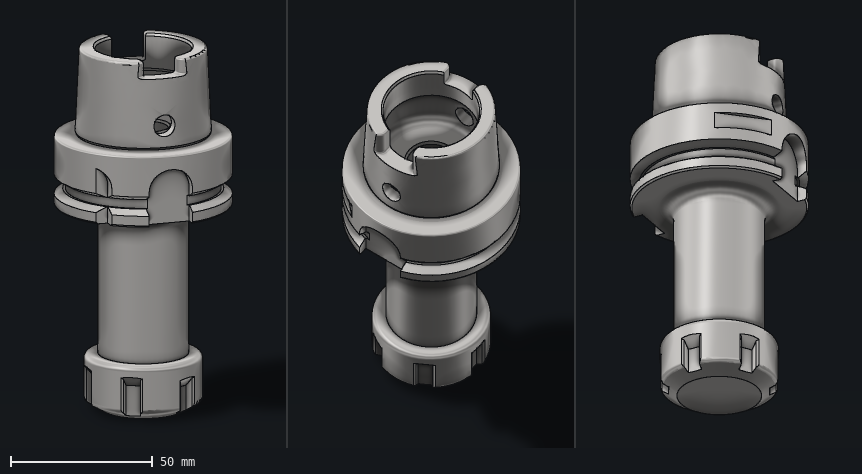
import cadquery as cq
import math

total_height = 132.0

shank_base_z = 102.2
shank_base_radius = 24.0
shank_top_radius = 22.7
shank_rim_round = 0.9
shank_relief_z = 101.2
undercut_radius = 23.6
undercut_z = 100.5
undercut_face_radius = 25.2

bore_radius = 17.0
bore_rim_width = 0.6
bore_rim_depth = 0.9
clamp_edge_z = 119.3
clamp_radius = 19.8
clamp_angle = 30.0
bore_floor_z = 103.1
bore_floor_round = 4.1
center_hole_radius = 8.7
center_hole_chamfer = 0.8
center_hole_depth = 7.9

slot_width = 12.5
slot_half_width = slot_width / 2
slot_flare_radius = 2.8
slot_face_x = 21.0
slot_floor_round = 1.0
left_slot_z = 122.1
right_slot_z = 126.0

cross_hole_diameter = 7.8
cross_hole_z = 109.0

flange_diameter = 63.0
flange_radius = flange_diameter / 2
flange_top_z = 100.0
flange_bottom_z = 74.3
flange_top_round = 0.8
flange_bottom_chamfer = 0.7
groove_radius = 27.5
groove_mouth_radius = 28.4
groove_top_z = 83.7
groove_bottom_z = 80.3
groove_side_angle = 30.0

keyway_floor_spacing = 52.9
keyway_floor_x = keyway_floor_spacing / 2
keyway_top_z = 95.0
left_keyway_half_width = 9.0
right_keyway_half_width = 8.0
notch_wall = 19.9
notch_top_round = 6.9
flat_distance = 29.7
flat_top_z = 96.0
flat_bottom_z = 90.0
flat_angle = 135.0

neck_diameter = 32.1
neck_radius = neck_diameter / 2
neck_fillet = 5.0

nut_top_z = 20.3
nut_radius = 21.0
nut_top_round = 2.0
nut_face_radius = 14.9
nut_cone_angle = 30.0
nut_corner_round = 2.1

wrench_slot_count = 6
wrench_floor_distance = 17.8
wrench_floor_half_width = 2.6
wrench_edge_half_width = 3.0
wrench_mouth_width = 7.8
wrench_mouth_half_width = wrench_mouth_width / 2
wrench_edge_chamfer = 0.5
wrench_floor_top_z = 12.8
wrench_top_slope = 50.0
short_slot_drop = 1.8
first_wrench_slot_angle = 30.0

clearance = 2.6

selection_margin = 0.1


def turned_body():
    """Shank, flange, neck and nut as one revolved outline."""
    groove_side_width = flange_radius - groove_mouth_radius
    groove_side_rise = groove_side_width * math.tan(math.radians(groove_side_angle))
    nut_cone_rise = (nut_radius - nut_face_radius) * math.tan(math.radians(nut_cone_angle))
    turn = math.radians(90 - nut_cone_angle)
    tangent_length = nut_corner_round * math.tan(turn / 2)
    round_center_r = nut_radius - nut_corner_round
    round_top_z = nut_cone_rise + tangent_length
    cone_end = (round_center_r + nut_corner_round * math.cos(turn),
                round_top_z - nut_corner_round * math.sin(turn))
    round_middle = (round_center_r + nut_corner_round * math.cos(turn / 2),
                    round_top_z - nut_corner_round * math.sin(turn / 2))
    return (
        cq.Workplane("XZ")
        .moveTo(0, 0)
        .lineTo(nut_face_radius, 0)
        .lineTo(*cone_end)
        .threePointArc(round_middle, (nut_radius, round_top_z))
        .lineTo(nut_radius, nut_top_z - nut_top_round)
        .radiusArc((nut_radius - nut_top_round, nut_top_z), -nut_top_round)
        .lineTo(neck_radius, nut_top_z)
        .lineTo(neck_radius, flange_bottom_z - neck_fillet)
        .radiusArc((neck_radius + neck_fillet, flange_bottom_z), neck_fillet)
        .lineTo(flange_radius - flange_bottom_chamfer, flange_bottom_z)
        .lineTo(flange_radius, flange_bottom_z + flange_bottom_chamfer)
        .lineTo(flange_radius, groove_bottom_z - groove_side_rise)
        .lineTo(groove_mouth_radius, groove_bottom_z)
        .lineTo(groove_radius, groove_bottom_z)
        .lineTo(groove_radius, groove_top_z)
        .lineTo(groove_mouth_radius, groove_top_z)
        .lineTo(flange_radius, groove_top_z + groove_side_rise)
        .lineTo(flange_radius, flange_top_z - flange_top_round)
        .radiusArc((flange_radius - flange_top_round, flange_top_z), -flange_top_round)
        .lineTo(undercut_face_radius, flange_top_z)
        .lineTo(undercut_radius, undercut_z)
        .lineTo(shank_base_radius, shank_relief_z)
        .lineTo(shank_base_radius, shank_base_z)
        .lineTo(shank_top_radius, total_height - shank_rim_round)
        .radiusArc((shank_top_radius - shank_rim_round, total_height), -shank_rim_round)
        .lineTo(0, total_height)
        .close()
        .revolve(360, (0, 0, 0), (0, 1, 0))
    )


def shank_bore():
    """Stepped bore with a rounded floor and a blind centre hole."""
    clamp_drop = (clamp_radius - bore_radius) * math.tan(math.radians(clamp_angle))
    return (
        cq.Workplane("XZ")
        .moveTo(0, total_height)
        .lineTo(bore_radius + bore_rim_width, total_height)
        .lineTo(bore_radius, total_height - bore_rim_depth)
        .lineTo(bore_radius, clamp_edge_z)
        .lineTo(clamp_radius, clamp_edge_z - clamp_drop)
        .lineTo(clamp_radius, bore_floor_z + bore_floor_round)
        .radiusArc((clamp_radius - bore_floor_round, bore_floor_z), bore_floor_round)
        .lineTo(center_hole_radius + center_hole_chamfer, bore_floor_z)
        .lineTo(center_hole_radius, bore_floor_z - center_hole_chamfer)
        .lineTo(center_hole_radius, bore_floor_z - center_hole_depth)
        .lineTo(0, bore_floor_z - center_hole_depth)
        .close()
        .revolve(360, (0, 0, 0), (0, 1, 0))
    )


def rim_slot(side, floor_z):
    """Driving slot through the shank wall on the +X (side 1) or -X (side -1), with rounded edges."""
    flare_start_x = slot_face_x - slot_flare_radius
    flare_end_y = slot_half_width + slot_flare_radius
    diagonal = slot_flare_radius * math.sqrt(0.5)
    flare_middle = (flare_start_x + diagonal, flare_end_y - diagonal)
    slot = (
        cq.Workplane("XY", origin=(0, 0, floor_z))
        .moveTo(side * bore_radius / 2, -slot_half_width)
        .lineTo(side * flare_start_x, -slot_half_width)
        .threePointArc((side * flare_middle[0], -flare_middle[1]), (side * slot_face_x, -flare_end_y))
        .lineTo(side * slot_face_x, -shank_base_radius)
        .lineTo(side * (shank_base_radius + clearance), -shank_base_radius)
        .lineTo(side * (shank_base_radius + clearance), shank_base_radius)
        .lineTo(side * slot_face_x, shank_base_radius)
        .lineTo(side * slot_face_x, flare_end_y)
        .threePointArc((side * flare_middle[0], flare_middle[1]), (side * flare_start_x, slot_half_width))
        .lineTo(side * bore_radius / 2, slot_half_width)
        .close()
        .extrude(total_height - floor_z)
    )
    slot = slot.faces("<Z").edges().fillet(slot_floor_round)
    plate_size = 4 * shank_base_radius
    plate = cq.Workplane("XY", origin=(0, 0, total_height)).rect(plate_size, plate_size).extrude(clearance)
    mouth_walls = cq.selectors.BoxSelector(
        (side * (bore_radius / 2 + selection_margin), -shank_base_radius, total_height - selection_margin),
        (side * (slot_face_x + selection_margin), shank_base_radius, total_height + selection_margin),
    )
    return slot.union(plate).edges(mouth_walls).fillet(shank_rim_round)


def keyway(side, half_width):
    """Round-topped keyway in the flange, open at the bottom, with a flat floor."""
    arch_z = keyway_top_z - half_width
    depth = flange_radius + clearance - keyway_floor_x
    return (
        cq.Workplane("YZ", origin=(side * keyway_floor_x, 0, 0))
        .moveTo(-half_width, flange_bottom_z)
        .lineTo(half_width, flange_bottom_z)
        .lineTo(half_width, arch_z)
        .threePointArc((0, keyway_top_z), (-half_width, arch_z))
        .close()
        .extrude(side * depth)
    )


def corner_notch():
    """Square notch through the flange rim at the +X -Y corner with a rounded top."""
    reach = flange_radius + clearance
    return (
        cq.Workplane("YZ", origin=(notch_wall, 0, 0))
        .moveTo(-notch_wall, flange_bottom_z)
        .lineTo(-notch_wall, keyway_top_z - notch_top_round)
        .radiusArc((-notch_wall - notch_top_round, keyway_top_z), -notch_top_round)
        .lineTo(-reach, keyway_top_z)
        .lineTo(-reach, flange_bottom_z)
        .close()
        .extrude(reach - notch_wall)
    )


def rim_flat():
    """Shallow flat on the flange rim, facing the -X +Y corner."""
    height = flat_top_z - flat_bottom_z
    return (
        cq.Workplane("XY", origin=(0, 0, flat_bottom_z))
        .center(flat_distance + clearance, 0)
        .rect(2 * clearance, 2 * flange_radius)
        .extrude(height)
        .rotate((0, 0, 0), (0, 0, 1), flat_angle)
    )


def wrench_slot(angle, top_drop):
    """Nut slot with tapered sides, chamfered edges and a sloping upper end."""
    mouth_distance = math.sqrt(nut_radius**2 - wrench_mouth_half_width**2)
    edge_distance = mouth_distance - wrench_edge_chamfer
    chamfer_slope = (wrench_mouth_half_width - wrench_edge_half_width) / wrench_edge_chamfer
    reach = nut_radius + clearance
    reach_half_width = wrench_mouth_half_width + (reach - mouth_distance) * chamfer_slope
    plan = (
        cq.Workplane("XY", origin=(0, 0, -clearance))
        .moveTo(wrench_floor_distance, -wrench_floor_half_width)
        .lineTo(edge_distance, -wrench_edge_half_width)
        .lineTo(reach, -reach_half_width)
        .lineTo(reach, reach_half_width)
        .lineTo(edge_distance, wrench_edge_half_width)
        .lineTo(wrench_floor_distance, wrench_floor_half_width)
        .close()
        .extrude(nut_top_z + clearance)
    )
    floor_top_z = wrench_floor_top_z - top_drop
    reach_top_z = floor_top_z + (reach - wrench_floor_distance) * math.tan(math.radians(wrench_top_slope))
    section = (
        cq.Workplane("XZ")
        .moveTo(wrench_floor_distance, -clearance)
        .lineTo(reach, -clearance)
        .lineTo(reach, reach_top_z)
        .lineTo(wrench_floor_distance, floor_top_z)
        .close()
        .extrude(nut_radius, both=True)
    )
    return plan.intersect(section).rotate((0, 0, 0), (0, 0, 1), angle)


result = turned_body().cut(shank_bore())

for side, floor_z in ((-1, left_slot_z), (1, right_slot_z)):
    result = result.cut(rim_slot(side, floor_z))

cross_hole = (
    cq.Workplane("YZ", origin=(-flange_radius, 0, cross_hole_z))
    .circle(cross_hole_diameter / 2)
    .extrude(2 * flange_radius)
)
result = result.cut(cross_hole)

for side, half_width in ((-1, left_keyway_half_width), (1, right_keyway_half_width)):
    result = result.cut(keyway(side, half_width))

result = result.cut(corner_notch()).cut(rim_flat())

for index in range(wrench_slot_count):
    slot_angle = first_wrench_slot_angle + index * 360 / wrench_slot_count
    top_drop = short_slot_drop if slot_angle < 180 else 0
    result = result.cut(wrench_slot(slot_angle, top_drop))

result = cq.Workplane(result.solids().val())